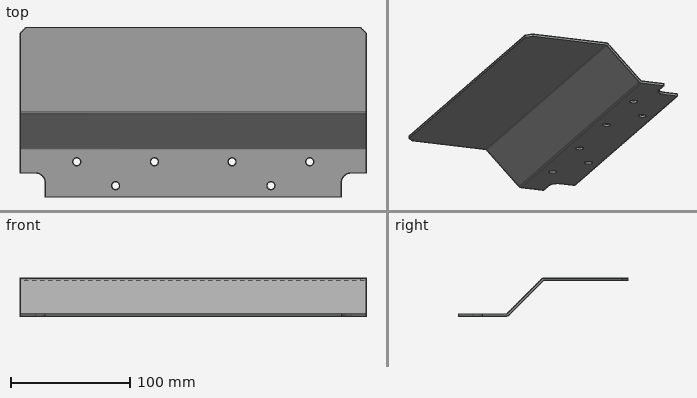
import cadquery as cq
import math

width = 290.0
depth = 142.0
height = 32.0
thickness = 2.0

bend_angle = 45.0
inner_bend_radius = 1.0
outer_bend_radius = inner_bend_radius + thickness
lower_flange_depth = 40.0

notch_width = 21.0
notch_depth = 20.0
notch_radius = 8.0
rear_chamfer = 5.0

hole_diameter = 6.5
hole_pitch = 65.0
front_row_y = 9.5
front_row_columns = (-1.0, 1.0)
rear_row_y = 29.5
rear_row_columns = (-1.5, -0.5, 0.5, 1.5)


def bent_sheet():
    """Z-bent sheet, extruded along X from its side profile."""
    rise = height - thickness
    run = rise / math.tan(math.radians(bend_angle))
    half_angle_tangent = math.tan(math.radians(bend_angle / 2))
    underside_shift = thickness * half_angle_tangent
    lower_top_y = lower_flange_depth + inner_bend_radius * half_angle_tangent
    upper_top_y = lower_top_y + run
    lower_under_y = lower_top_y + underside_shift
    upper_under_y = upper_top_y + underside_shift

    sheet = (
        cq.Workplane("YZ")
        .moveTo(0, 0)
        .lineTo(lower_under_y, 0)
        .lineTo(upper_under_y, rise)
        .lineTo(depth, rise)
        .lineTo(depth, height)
        .lineTo(upper_top_y, height)
        .lineTo(lower_top_y, thickness)
        .lineTo(0, thickness)
        .close()
        .extrude(width / 2, both=True)
    )

    bends = (
        (lower_top_y, thickness, inner_bend_radius),
        (lower_under_y, 0, outer_bend_radius),
        (upper_top_y, height, outer_bend_radius),
        (upper_under_y, rise, inner_bend_radius),
    )
    for y, z, radius in bends:
        corner = cq.selectors.NearestToPointSelector((0, y, z))
        sheet = sheet.edges(corner).fillet(radius)
    return sheet


def plan_outline():
    """Plan shape of the sheet: notched front corners and chamfered rear corners."""
    side = width / 2
    tab_side = side - notch_width
    arc_offset = notch_radius * (1 - math.sqrt(0.5))
    return (
        cq.Workplane("XY")
        .moveTo(-tab_side, 0)
        .lineTo(tab_side, 0)
        .lineTo(tab_side, notch_depth - notch_radius)
        .threePointArc(
            (tab_side + arc_offset, notch_depth - arc_offset),
            (tab_side + notch_radius, notch_depth),
        )
        .lineTo(side, notch_depth)
        .lineTo(side, depth - rear_chamfer)
        .lineTo(side - rear_chamfer, depth)
        .lineTo(-side + rear_chamfer, depth)
        .lineTo(-side, depth - rear_chamfer)
        .lineTo(-side, notch_depth)
        .lineTo(-tab_side - notch_radius, notch_depth)
        .threePointArc(
            (-tab_side - arc_offset, notch_depth - arc_offset),
            (-tab_side, notch_depth - notch_radius),
        )
        .close()
        .extrude(height)
    )


def mounting_holes():
    """Cylinders that cut the two rows of holes through the lower flange."""
    front_row = [(column * hole_pitch, front_row_y) for column in front_row_columns]
    rear_row = [(column * hole_pitch, rear_row_y) for column in rear_row_columns]
    return (
        cq.Workplane("XY")
        .pushPoints(front_row + rear_row)
        .circle(hole_diameter / 2)
        .extrude(thickness)
    )


result = bent_sheet().intersect(plan_outline()).cut(mounting_holes())